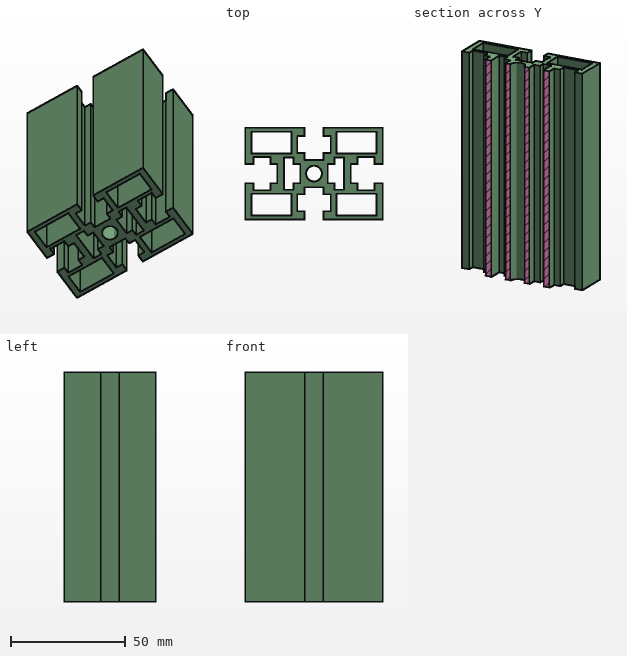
import cadquery as cq

WIDTH = 60.0
DEPTH = 40.0
LENGTH = 100.0

SLOT_MOUTH = 8.2
SLOT_CAVITY = 14.4
LIP_THICKNESS = 3.7
SHOULDER_DEPTH = 11.0
SLOT_DEPTH = 14.0

CHAMBER_WIDTH = 17.4
CHAMBER_DEPTH = 9.4
CHAMBER_SIDE_WALL = 2.8
CHAMBER_OUTER_WALL = 1.8

CORE_HALF_WIDTH = DEPTH / 2 - SLOT_DEPTH
INNER_CHAMBER_STEP = SLOT_DEPTH - SHOULDER_DEPTH
INNER_CHAMBER_SPAN = 14.0
SLOT_FLOOR_WALL = 3.0

BORE_DIAMETER = 6.8


def box_between(x_min, x_max, y_span):
    """Full-length cutter from x_min to x_max, centred on Y = 0."""
    cutter = cq.Workplane("XY").box(x_max - x_min, y_span, LENGTH)
    return cutter.translate(((x_min + x_max) / 2, 0, 0))


def t_slot(face_distance):
    """Stepped slot cutter entering from an outer face at X = face_distance."""
    mouth = box_between(face_distance - SLOT_DEPTH, face_distance, SLOT_MOUTH)
    cavity = box_between(face_distance - SHOULDER_DEPTH, face_distance - LIP_THICKNESS, SLOT_CAVITY)
    return mouth.union(cavity)


def inner_chamber():
    """T-shaped chamber cutter between the core and the floor of the +X slot."""
    outer_x = WIDTH / 2 - SLOT_DEPTH - SLOT_FLOOR_WALL
    neck = box_between(CORE_HALF_WIDTH, outer_x, SLOT_MOUTH)
    head = box_between(CORE_HALF_WIDTH + INNER_CHAMBER_STEP, outer_x, INNER_CHAMBER_SPAN)
    return neck.union(head)


def corner_chambers():
    """Four rectangular chamber cutters, one per corner."""
    x_pitch = WIDTH - 2 * CHAMBER_SIDE_WALL - CHAMBER_WIDTH
    y_pitch = DEPTH - 2 * CHAMBER_OUTER_WALL - CHAMBER_DEPTH
    centers = cq.Workplane("XY").rarray(x_pitch, y_pitch, 2, 2)
    return centers.box(CHAMBER_WIDTH, CHAMBER_DEPTH, LENGTH)


def turned(cutter, angle):
    """Cutter turned about the Z axis by an angle in degrees."""
    return cutter.rotate((0, 0, 0), (0, 0, 1), angle)


profile = cq.Workplane("XY").box(WIDTH, DEPTH, LENGTH)

for side_angle in (0, 180):
    profile = profile.cut(turned(t_slot(WIDTH / 2), side_angle))
    profile = profile.cut(turned(t_slot(DEPTH / 2), side_angle + 90))
    profile = profile.cut(turned(inner_chamber(), side_angle))

profile = profile.cut(corner_chambers())

bore = cq.Workplane("XY").cylinder(LENGTH, BORE_DIAMETER / 2)
result = profile.cut(bore)